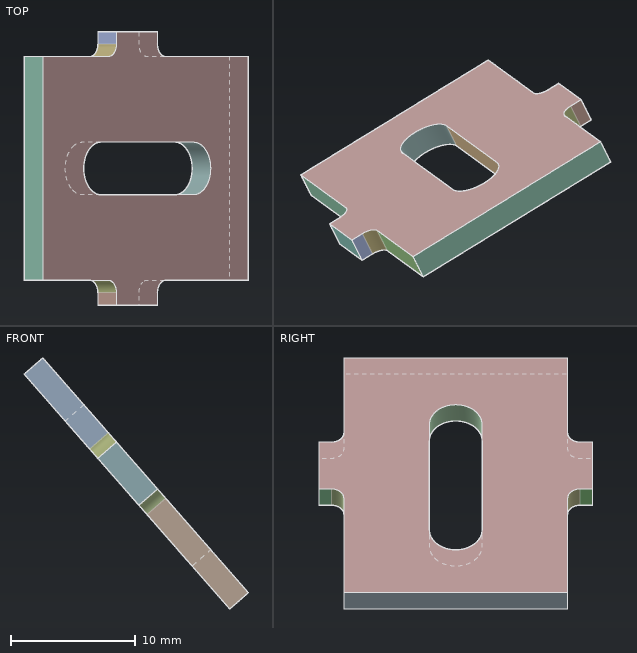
import cadquery as cq

plate_length = 25.1
plate_width = 18.0
thickness = 2.0
tilt_angle = 48.8

overall_width = 22.0
tab_length = 5.02
tab_start = 9.0
root_radius = 1.0

slot_length = 15.49
slot_width = 4.22
slot_center = 12.75


def make_plate():
    """Rectangular plate with its upper end at local X = 0."""
    return cq.Workplane("XY").box(plate_length, plate_width, thickness, centered=(False, True, False))


def make_tabs():
    """Crossbar whose two ends stick out as tabs on the plate sides."""
    bar = cq.Workplane("XY").box(tab_length, overall_width, thickness, centered=(False, True, False))
    return bar.translate((tab_start, 0, 0))


def round_tab_roots(body):
    """Fillet the four inside corners between the tabs and the plate."""
    for x in (tab_start, tab_start + tab_length):
        for y in (-plate_width / 2, plate_width / 2):
            corner = cq.selectors.NearestToPointSelector((x, y, thickness / 2))
            body = body.edges("|Z").edges(corner).fillet(root_radius)
    return body


def make_slot():
    """Round-ended cutter running along the plate."""
    cutter = cq.Workplane("XY").center(slot_center, 0).slot2D(slot_length, slot_width)
    return cutter.extrude(thickness)


flat_part = round_tab_roots(make_plate().union(make_tabs())).cut(make_slot())

result = flat_part.rotate((0, 0, 0), (0, 1, 0), tilt_angle)